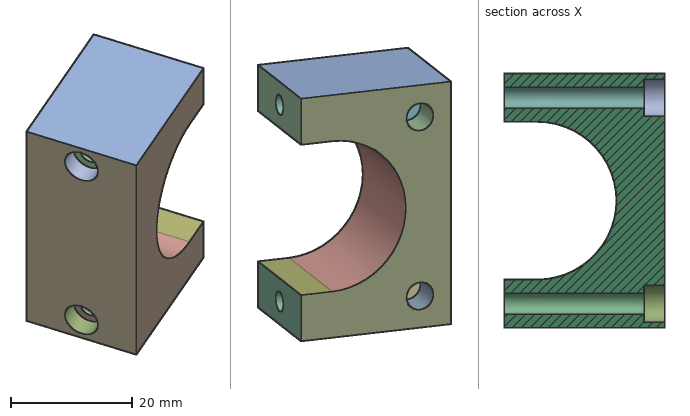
import cadquery as cq

width = 20.0
depth = 26.5
height = 42.0

channel_diameter = 26.0
channel_axis_from_front = 21.0

screw_diameter = 3.4
counterbore_diameter = 6.0
counterbore_depth = 3.4
screw_spacing = 34.0

side_hole_diameter = 4.7
side_hole_depth = 6.0
side_hole_from_front = 5.5
side_hole_spacing = 31.0


def block():
    return cq.Workplane("XY").box(width, depth, height)


def channel():
    """Half-round bottom with straight walls out to the back face."""
    axis_y = channel_axis_from_front - depth / 2
    radius = channel_diameter / 2
    return (
        cq.Workplane("YZ", origin=(-width / 2, 0, 0))
        .moveTo(depth / 2, radius)
        .lineTo(axis_y, radius)
        .threePointArc((axis_y - radius, 0), (axis_y, -radius))
        .lineTo(depth / 2, -radius)
        .close()
        .extrude(width)
    )


def screw_hole(z):
    """Through hole with its counterbore in the front face."""
    front = cq.Workplane("XZ", origin=(0, -depth / 2, z))
    shaft = front.circle(screw_diameter / 2).extrude(-depth)
    counterbore = front.circle(counterbore_diameter / 2).extrude(-counterbore_depth)
    return shaft.union(counterbore)


def side_hole(z):
    axis_y = side_hole_from_front - depth / 2
    side = cq.Workplane("YZ", origin=(-width / 2, axis_y, z))
    return side.circle(side_hole_diameter / 2).extrude(side_hole_depth)


result = block().cut(channel())
for end in (-1, 1):
    result = result.cut(screw_hole(end * screw_spacing / 2))
    result = result.cut(side_hole(end * side_hole_spacing / 2))